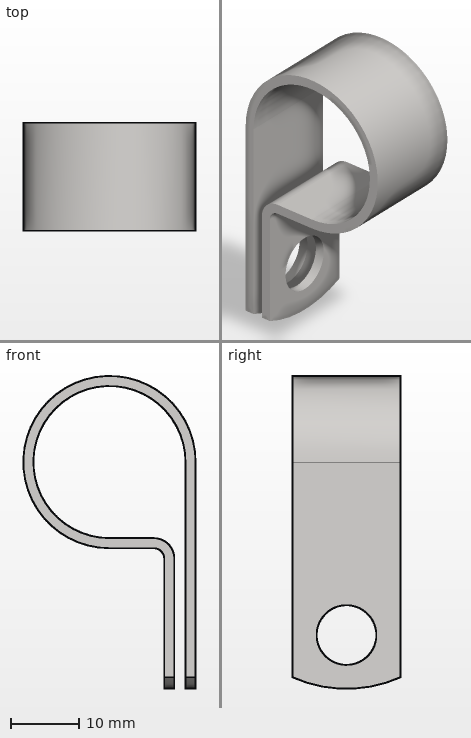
import cadquery as cq
import math

height = 45.9
outer_width = 25.3
strap_width = 15.9
thickness = 1.5
leg_gap = 1.6
bend_inner_radius = 1.5
hole_diameter = 8.7
hole_height = 7.9
tip_rise = 1.7

outer_radius = outer_width / 2
inner_radius = outer_radius - thickness
loop_z = height - outer_radius
short_leg_outer_x = inner_radius - leg_gap
short_leg_inner_x = short_leg_outer_x - thickness
bend_outer_radius = bend_inner_radius + thickness
bend_x = short_leg_outer_x - bend_outer_radius
shelf_top_z = loop_z - inner_radius
shelf_bottom_z = loop_z - outer_radius
bend_z = shelf_top_z - bend_outer_radius
diagonal = math.sqrt(0.5)


def strap_band():
    """Bent strip: long leg, three-quarter loop, shelf, bend and short leg."""
    profile = (
        cq.Workplane("XZ")
        .moveTo(outer_radius, 0)
        .lineTo(outer_radius, loop_z)
        .threePointArc(
            (-outer_radius * diagonal, loop_z + outer_radius * diagonal),
            (0, shelf_bottom_z),
        )
        .lineTo(bend_x, shelf_bottom_z)
        .threePointArc(
            (bend_x + bend_inner_radius * diagonal, bend_z + bend_inner_radius * diagonal),
            (short_leg_inner_x, bend_z),
        )
        .lineTo(short_leg_inner_x, 0)
        .lineTo(short_leg_outer_x, 0)
        .lineTo(short_leg_outer_x, bend_z)
        .threePointArc(
            (bend_x + bend_outer_radius * diagonal, bend_z + bend_outer_radius * diagonal),
            (bend_x, shelf_top_z),
        )
        .lineTo(0, shelf_top_z)
        .threePointArc(
            (-inner_radius * diagonal, loop_z + inner_radius * diagonal),
            (inner_radius, loop_z),
        )
        .lineTo(inner_radius, 0)
        .close()
    )
    return profile.extrude(strap_width / 2, both=True)


def side_outline():
    """Block with the rounded lower end shared by both legs."""
    half_width = strap_width / 2
    return (
        cq.Workplane("YZ")
        .moveTo(-half_width, tip_rise)
        .threePointArc((0, 0), (half_width, tip_rise))
        .lineTo(half_width, height)
        .lineTo(-half_width, height)
        .close()
        .extrude(outer_width, both=True)
    )


def bolt_hole():
    """Cylinder along X through both legs."""
    return (
        cq.Workplane("YZ")
        .center(0, hole_height)
        .circle(hole_diameter / 2)
        .extrude(outer_width, both=True)
    )


result = strap_band().intersect(side_outline()).cut(bolt_hole())